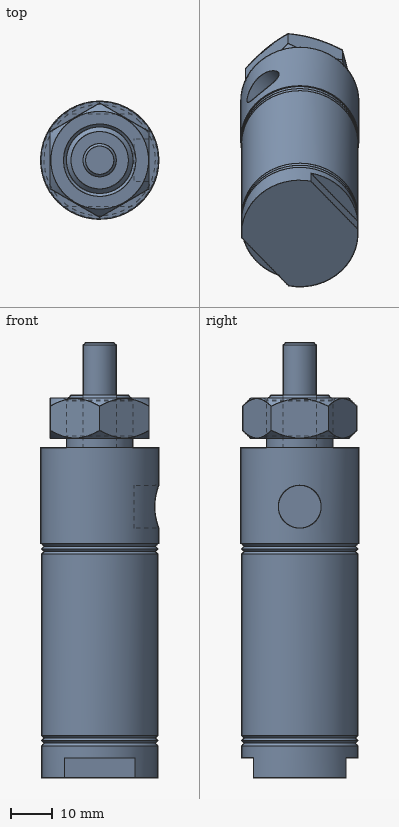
import cadquery as cq
import math

TOTAL_HEIGHT = 104.65

CAP_DIAMETER = 28.45
TUBE_DIAMETER = 28.0
NECK_DIAMETER = 16.0
NECK_CHAMFER = 1.1
SHOULDER_Z = 79.4
NECK_TOP_Z = 92.0

GROOVE_WIDTH = 1.25
GROOVE_DEPTH = GROOVE_WIDTH / 2
GROOVES_PER_BAND = 2
GROOVE_BAND_HEIGHT = GROOVES_PER_BAND * GROOVE_WIDTH
LOWER_BAND_Z = 7.7
UPPER_BAND_Z = 53.8
CAP_BOTTOM_Z = UPPER_BAND_Z + GROOVE_BAND_HEIGHT

FLATS_WIDTH = 22.3
FLATS_HEIGHT = 4.8

PORT_DIAMETER = 10.3
PORT_DEPTH = 6.0
PORT_Z = 65.2

ROD_DIAMETER = 8.0
ROD_CHAMFER = 0.6
ROD_BOTTOM_Z = SHOULDER_Z

NUT_ACROSS_FLATS = 23.8
NUT_SIDES = 6
NUT_ACROSS_CORNERS = NUT_ACROSS_FLATS / math.cos(math.pi / NUT_SIDES)
NUT_FACE_DIAMETER = 23.5
NUT_BOTTOM_Z = 81.55
NUT_HEIGHT = 9.8
NUT_BORE_CHAMFER = 0.7


def cylinder(diameter, bottom_z, top_z):
    """Solid cylinder about the Z axis."""
    return cq.Workplane("XY").workplane(offset=bottom_z).circle(diameter / 2).extrude(top_z - bottom_z)


def groove_band(bottom_z):
    """Outline of revolution, bottom to top, of side by side V grooves in the tube."""
    tube_radius = TUBE_DIAMETER / 2
    points = [(tube_radius, bottom_z)]
    for i in range(GROOVES_PER_BAND):
        groove_z = bottom_z + i * GROOVE_WIDTH
        points.append((tube_radius - GROOVE_DEPTH, groove_z + GROOVE_WIDTH / 2))
        points.append((tube_radius, groove_z + GROOVE_WIDTH))
    return points


def make_body():
    neck_radius = NECK_DIAMETER / 2
    cap_radius = CAP_DIAMETER / 2
    outline = [(0, 0), (TUBE_DIAMETER / 2, 0)]
    outline += groove_band(LOWER_BAND_Z)
    outline += groove_band(UPPER_BAND_Z)
    outline += [
        (cap_radius, CAP_BOTTOM_Z),
        (cap_radius, SHOULDER_Z),
        (neck_radius, SHOULDER_Z),
        (neck_radius, NECK_TOP_Z - NECK_CHAMFER),
        (neck_radius - NECK_CHAMFER, NECK_TOP_Z),
        (0, NECK_TOP_Z),
    ]
    body = cq.Workplane("XZ").polyline(outline).close().revolve(360, (0, 0, 0), (0, 1, 0))

    flats_envelope = cq.Workplane("XY").box(
        CAP_DIAMETER, FLATS_WIDTH, FLATS_HEIGHT, centered=(True, True, False)
    )
    flats_waste = cylinder(CAP_DIAMETER, 0, FLATS_HEIGHT).cut(flats_envelope)
    body = body.cut(flats_waste)

    port = (
        cq.Workplane("YZ", origin=(cap_radius - PORT_DEPTH, 0, PORT_Z))
        .circle(PORT_DIAMETER / 2)
        .extrude(PORT_DEPTH)
    )
    body = body.cut(port)

    return body.cut(cylinder(ROD_DIAMETER, ROD_BOTTOM_Z, NECK_TOP_Z))


def make_rod():
    return cylinder(ROD_DIAMETER, ROD_BOTTOM_Z, TOTAL_HEIGHT).faces(">Z").chamfer(ROD_CHAMFER)


def make_nut():
    nut = (
        cq.Workplane("XY")
        .workplane(offset=NUT_BOTTOM_Z)
        .transformed(rotate=(0, 0, 90))
        .polygon(NUT_SIDES, NUT_ACROSS_CORNERS)
        .extrude(NUT_HEIGHT)
    )
    corner_chamfer = (NUT_ACROSS_CORNERS - NUT_FACE_DIAMETER) / 2
    chamfer_envelope = (
        cylinder(NUT_ACROSS_CORNERS, NUT_BOTTOM_Z, NUT_BOTTOM_Z + NUT_HEIGHT)
        .faces("<Z or >Z")
        .chamfer(corner_chamfer)
    )
    nut = nut.intersect(chamfer_envelope)

    nut = nut.cut(cylinder(NECK_DIAMETER, NUT_BOTTOM_Z, NUT_BOTTOM_Z + NUT_HEIGHT))
    bore_rims = cq.selectors.RadiusNthSelector(0)
    return nut.edges("%CIRCLE").edges(bore_rims).chamfer(NUT_BORE_CHAMFER)


body = make_body()
rod = make_rod()
nut = make_nut()

result = cq.Compound.makeCompound([body.val(), rod.val(), nut.val()])